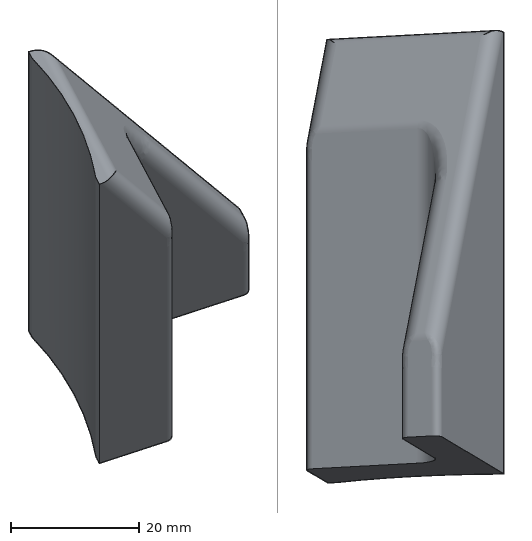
import cadquery as cq
import math

width = 28.575
depth = 34.925
height = 69.85

wall_thickness = 6.35
leg_depth = 12.7
inner_corner_radius = 3.81
end_corner_radius = 1.27

slope_top_depth = 3.175
slope_bottom_height = 15.875
slope_edge_radius = 2.54

front_strip_width = 1.4
hollow_radius = 50.8
half_chord = width / 2 - front_strip_width
hollow_axis_y = -math.sqrt(hollow_radius**2 - half_chord**2)


def l_shaped_column():
    """Full-height L: a long side wall along Y and a short leg along X, with rounded corners."""
    column = (
        cq.Workplane("XY")
        .polyline(
            [
                (0, 0),
                (width, 0),
                (width, leg_depth),
                (wall_thickness, leg_depth),
                (wall_thickness, depth),
                (0, depth),
            ]
        )
        .close()
        .extrude(height)
    )
    inner_corner = cq.selectors.NearestToPointSelector((wall_thickness, leg_depth, height / 2))
    return column.edges(inner_corner).fillet(inner_corner_radius)


def round_end_corners(body):
    """Round the upright edges at the free end of the wall and of the leg."""
    free_corners = [(0, depth), (wall_thickness, depth), (width, leg_depth)]
    for x, y in free_corners:
        corner = cq.selectors.NearestToPointSelector((x, y, 0))
        body = body.edges("|Z").edges(corner).fillet(end_corner_radius)
    return body


def slope_cutter():
    """Wedge that removes everything above and behind the sloped back."""
    return (
        cq.Workplane("YZ")
        .polyline([(slope_top_depth, height), (depth, slope_bottom_height), (depth, height)])
        .close()
        .extrude(width)
    )


def round_slope_edges(body):
    """Round every edge that borders the sloped back."""
    slope_normal = cq.Vector(0, height - slope_bottom_height, depth - slope_top_depth)
    slope_face = cq.selectors.ParallelDirSelector(slope_normal)
    return body.faces(slope_face).edges().fillet(slope_edge_radius)


def front_hollow():
    """Upright cylinder that scoops out the front face."""
    return cq.Workplane("XY").center(width / 2, hollow_axis_y).circle(hollow_radius).extrude(height)


body = round_slope_edges(l_shaped_column().cut(slope_cutter()))
body = round_end_corners(body)
result = body.cut(front_hollow())